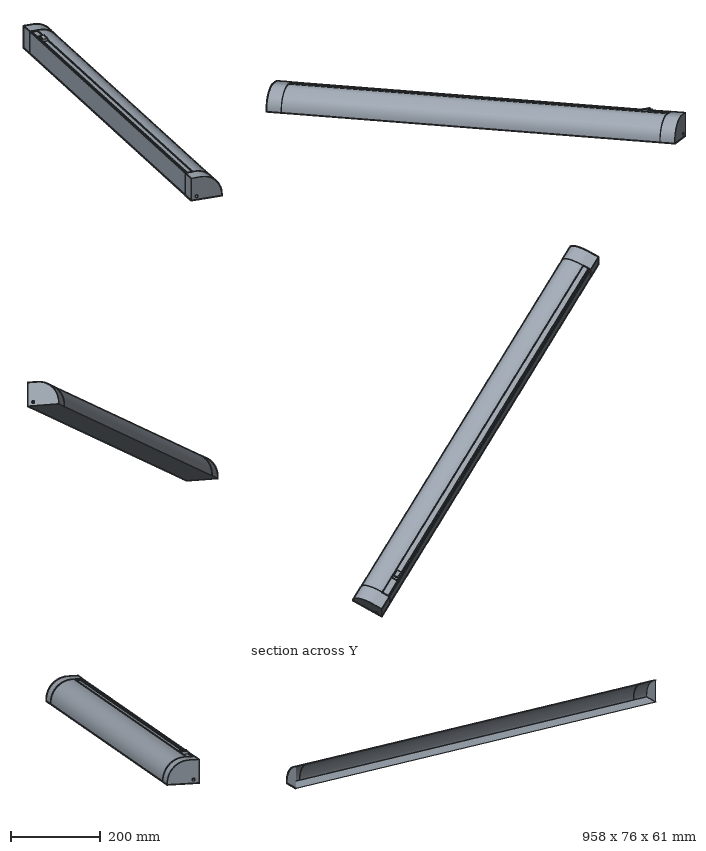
import cadquery as cq
import math

length = 958.0
depth = 76.0
housing_height = 55.1
cap_length = 35.0
wall = 1.4
front_y = -depth / 2
back_y = depth / 2
middle_length = length - 2 * cap_length
bar_left_x = -length / 2
middle_left_x = -middle_length / 2
middle_right_x = middle_length / 2

arc_center_y = -12.9
cap_radius = back_y - arc_center_y
arc_center_z = housing_height - cap_radius
corner_chamfer = 1.0
middle_inset = 0.3

channel_back_y = -18.7
channel_front_y = -34.0
channel_depth = 3.4
channel_width = channel_back_y - channel_front_y
channel_center_y = (channel_back_y + channel_front_y) / 2
channel_floor_z = housing_height - channel_depth
ledge_width = 3.0
ledge_height = 2.0

cable_hole_diameter = 6.5
cable_hole_y = -24.0
cable_hole_z = 9.1

frame_left_x = -403.0
frame_right_x = -382.0
frame_length = frame_right_x - frame_left_x
frame_top_z = 58.0
rocker_left_x = -399.5
rocker_peak_x = -398.0
rocker_right_x = -385.0
rocker_top_z = 61.0
rocker_width = 10.0


def bar_piece(start_x, piece_length, inset=0.0, bottom_z=0.0):
    """Bar along X with a flat bottom, front and top, and a quarter-round back.

    The front, top and back lie inside the outer faces of the caps by the inset.
    """
    radius = cap_radius - inset
    diagonal = radius * math.sqrt(0.5)
    return (
        cq.Workplane("YZ", origin=(start_x, 0, 0))
        .moveTo(front_y + inset, bottom_z)
        .lineTo(arc_center_y + radius, bottom_z)
        .lineTo(arc_center_y + radius, arc_center_z)
        .threePointArc(
            (arc_center_y + diagonal, arc_center_z + diagonal),
            (arc_center_y, arc_center_z + radius),
        )
        .lineTo(front_y + inset, housing_height - inset)
        .close()
        .extrude(piece_length)
    )


def make_shell():
    """Solid middle section and caps, each with its long top front corner chamfered."""
    middle = bar_piece(middle_left_x, middle_length, middle_inset)
    shell = middle.edges("|X and >Z and <Y").chamfer(corner_chamfer)
    for cap_left_x in (bar_left_x, middle_right_x):
        cap = bar_piece(cap_left_x, cap_length)
        shell = shell.union(cap.edges("|X and >Z and <Y").chamfer(corner_chamfer))
    return shell


def channel_block(margin=0.0):
    """Room of the channel, grown by a margin to the sides, the ends and below."""
    return cq.Workplane("XY", origin=(0, channel_center_y, channel_floor_z - margin)).box(
        middle_length + 2 * margin,
        channel_width + 2 * margin,
        channel_depth + margin,
        centered=(True, True, False),
    )


def make_channel():
    """Channel from cap to cap, with a ledge along its front side to the right of the switch."""
    ledge = cq.Workplane("XY", origin=(frame_right_x, channel_front_y, channel_floor_z)).box(
        middle_right_x - frame_right_x, ledge_width, ledge_height, centered=False
    )
    return channel_block().cut(ledge)


def make_cavity():
    """Hollow one wall thickness inside the shell, the end walls and the channel."""
    cavity = bar_piece(middle_left_x, middle_length, middle_inset + wall, wall)
    for cap_cavity_left_x in (bar_left_x + wall, middle_right_x):
        cavity = cavity.union(bar_piece(cap_cavity_left_x, cap_length - wall, wall, wall))
    return cavity.cut(channel_block(wall))


def make_cable_hole():
    return (
        cq.Workplane("YZ", origin=(bar_left_x, cable_hole_y, cable_hole_z))
        .circle(cable_hole_diameter / 2)
        .extrude(length)
    )


def make_housing():
    housing = make_shell().cut(make_channel()).cut(make_cavity()).cut(make_cable_hole())
    return housing.solids()


def make_switch():
    frame = cq.Workplane("XY", origin=(frame_left_x, channel_front_y, channel_floor_z)).box(
        frame_length, channel_width, frame_top_z - channel_floor_z, centered=False
    )
    rocker = (
        cq.Workplane("XZ", origin=(0, channel_center_y, 0))
        .moveTo(rocker_left_x, frame_top_z)
        .lineTo(rocker_peak_x, rocker_top_z)
        .lineTo(rocker_right_x, frame_top_z)
        .close()
        .extrude(rocker_width / 2, both=True)
    )
    return frame.union(rocker).solids()


housing = make_housing()
switch = make_switch()
result = cq.Compound.makeCompound([housing.val(), switch.val()])